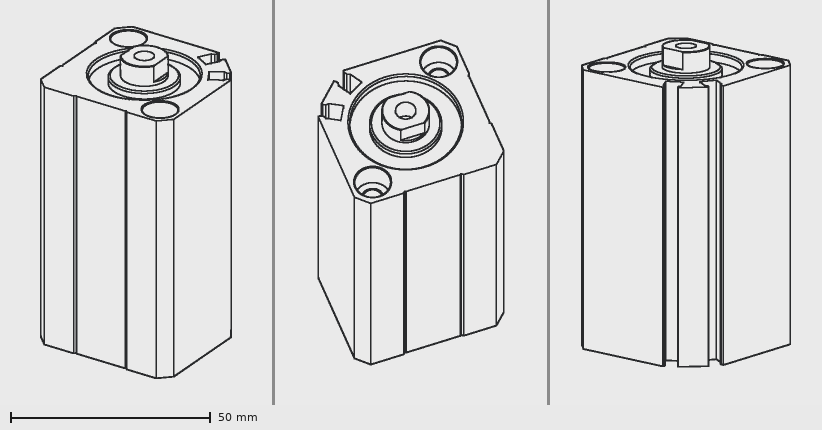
import cadquery as cq


total_height = 77.5
rod_projection = 5.0
housing_height = total_height - rod_projection
width = 40.0
half_width = width / 2

corner_chamfer = 3.2
slotted_corner_chamfer = 9.6

panel_depth = 0.27
groove_depth = 0.5
groove_tip_offset = 7.5
groove_outer_offset = groove_tip_offset + groove_depth
groove_inner_offset = groove_tip_offset - (groove_depth - panel_depth)

slot_angles = (30, 60)
slot_floor_radius = 16.1
slot_shoulder_radius = 19.9
slot_neck_start_radius = 20.5
slot_neck_end_radius = 21.3
slot_mouth_radius = 22.1
slot_outer_radius = 23.25
slot_half_width = 2.25
slot_neck_half_width = 1.7
slot_mouth_half_width = 2.1

mount_offset = 14.1
mount_hole_radius = 2.5
mount_hole_chamfer = 0.2
counterbore_radius = 4.5
counterbore_depth = 7.0
counterbore_chamfer = 0.2

recess_radius = 14.0
recess_depth = 2.5
recess_chamfer = 0.5
boss_radius = 9.1
boss_drop = 0.5
boss_chamfer = 0.5

rod_radius = 6.0
rod_chamfer = 0.15
rod_base_height = housing_height - recess_depth
flat_half_width = 5.0
flat_bottom_gap = 0.5
thread_hole_radius = 2.55
thread_hole_depth = 6.2


def disc(radius, bottom, top, x=0.0, y=0.0):
    """Upright cylinder between two heights."""
    return cq.Workplane("XY", origin=(x, y, bottom)).circle(radius).extrude(top - bottom)


def countersink(radius, chamfer, top, x=0.0, y=0.0):
    """Cone that cuts a 45 degree chamfer on the rim of a hole whose mouth is at top."""
    cone = cq.Solid.makeCone(radius, radius + chamfer, chamfer, pnt=cq.Vector(x, y, top - chamfer))
    return cq.Workplane(obj=cone)


def body_block():
    """Square bar with three small corner flats and one large one."""
    small = half_width - corner_chamfer
    large = half_width - slotted_corner_chamfer
    outline = [
        (-small, -half_width),
        (small, -half_width),
        (half_width, -small),
        (half_width, large),
        (large, half_width),
        (-small, half_width),
        (-half_width, small),
        (-half_width, -small),
    ]
    return cq.Workplane("XY").polyline(outline).close().extrude(housing_height)


def side_panel():
    """Cutter for the grooved panel on the -Y side."""
    right_edge = [
        (groove_inner_offset, panel_depth - half_width),
        (groove_tip_offset, groove_depth - half_width),
        (groove_outer_offset, -half_width),
    ]
    left_edge = [(-x, y) for x, y in reversed(right_edge)]
    return cq.Workplane("XY").polyline(left_edge + right_edge).close().extrude(housing_height)


def sensor_slot(angle):
    """Cutter for an undercut slot along the full height, pointing outward at angle."""
    upper_side = [
        (slot_floor_radius, slot_half_width),
        (slot_shoulder_radius, slot_half_width),
        (slot_neck_start_radius, slot_neck_half_width),
        (slot_neck_end_radius, slot_neck_half_width),
        (slot_mouth_radius, slot_mouth_half_width),
        (slot_outer_radius, slot_mouth_half_width),
    ]
    lower_side = [(x, -y) for x, y in reversed(upper_side)]
    cutter = cq.Workplane("XY").polyline(upper_side + lower_side).close().extrude(housing_height)
    return cutter.rotate((0, 0, 0), (0, 0, 1), angle)


def mounting_hole(x, y):
    """Cutter for a counterbored through hole with the rims of bore and counterbore chamfered."""
    seat = housing_height - counterbore_depth
    cutter = disc(mount_hole_radius, 0, housing_height, x, y)
    cutter = cutter.union(countersink(mount_hole_radius, mount_hole_chamfer, seat, x, y))
    cutter = cutter.union(disc(counterbore_radius, seat, housing_height, x, y))
    return cutter.union(countersink(counterbore_radius, counterbore_chamfer, housing_height, x, y))


def head_recess():
    """Cutter for the round recess, leaving the chamfered boss standing in it."""
    floor = housing_height - recess_depth
    boss = disc(boss_radius, floor, housing_height - boss_drop)
    boss = boss.faces(">Z").edges().chamfer(boss_chamfer)
    recess = disc(recess_radius, floor, housing_height)
    recess = recess.union(countersink(recess_radius, recess_chamfer, housing_height))
    return recess.cut(boss)


def make_housing():
    body = body_block()
    for turn in (0, -90):
        body = body.cut(side_panel().rotate((0, 0, 0), (0, 0, 1), turn))
    for angle in slot_angles:
        body = body.cut(sensor_slot(angle))
    for side in (-1, 1):
        body = body.cut(mounting_hole(side * mount_offset, -side * mount_offset))
    body = body.cut(head_recess())
    rod_bore = disc(rod_radius, rod_base_height, housing_height)
    return body.cut(rod_bore)


def make_piston_rod():
    """Round rod through the boss, with two wrench flats and a blind thread hole."""
    rod = disc(rod_radius, rod_base_height, total_height)
    rod = rod.faces(">Z").edges().chamfer(rod_chamfer)
    flat_depth = rod_radius - flat_half_width
    flat_bottom = housing_height + flat_bottom_gap
    for side in (-1, 1):
        flat = cq.Workplane("XY", origin=(side * (flat_half_width + flat_depth / 2), 0, flat_bottom))
        flat = flat.rect(flat_depth, 2 * rod_radius).extrude(total_height - flat_bottom)
        rod = rod.cut(flat)
    return rod.cut(disc(thread_hole_radius, total_height - thread_hole_depth, total_height))


housing = make_housing()
piston_rod = make_piston_rod()

result = cq.Compound.makeCompound([housing.val(), piston_rod.val()])